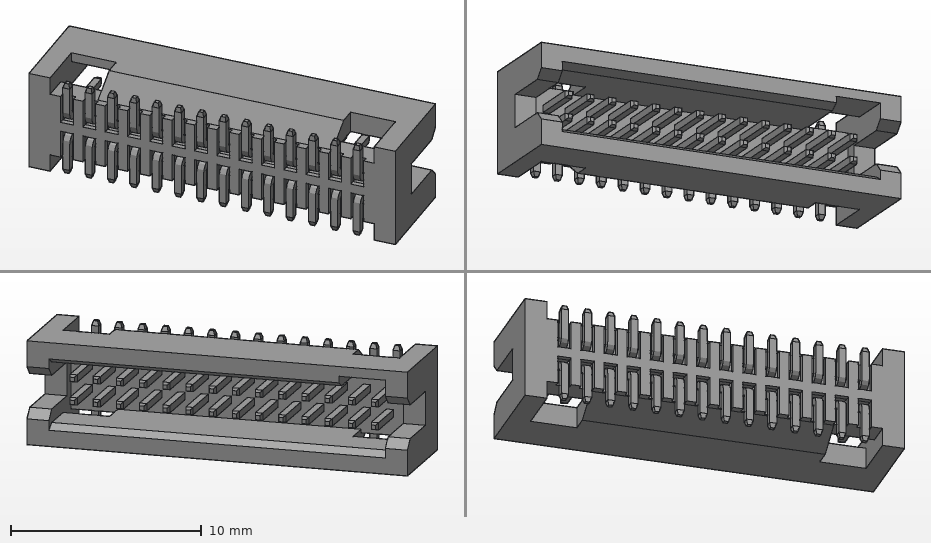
import cadquery as cq

length = 20.85
depth = 5.4
height = 5.65
end_wall = 1.2

cavity_half_height = 1.65
cavity_floor = 1.42
cavity_lead_in_depth = 0.5
cavity_lead_in_height = 0.3
slot_half_height = 0.92
slot_floor = 2.19
mouth_chamfer = 0.5

ledge_half_height = 1.83
ledge_depth = 1.42
window_width = 2.55
window_depth = 2.85
ramp_near = 0.42
ramp_far = 1.92

groove_top = 2.3

pin_count = 14
row_span = 16.5
pin_size = 0.4
row_offset = 0.63
tail_stand_off = 0.1
tail_end = 2.7
contact_end = 4.35
bend_radius = 0.52
tip_length = 0.25
tip_size = 0.23

channel_width = 0.73
channel_start = 0.27
channel_depth = 0.3
funnel_depth = 0.17

half_length = length / 2
half_height = height / 2
inner_length = length - 2 * end_wall
ramp_length = inner_length - 2 * window_width
window_x = (inner_length - window_width) / 2
pin_pitch = row_span / (pin_count - 1)
pin_positions = [-row_span / 2 + i * pin_pitch for i in range(pin_count)]
bend_center_y = bend_radius - tail_stand_off
bend_center_z = row_offset - pin_size / 2 + bend_radius


def block(x_range, y_range, z_range):
    """Axis-aligned box between the given limits."""
    size = [high - low for low, high in (x_range, y_range, z_range)]
    corner = (x_range[0], y_range[0], z_range[0])
    return cq.Workplane("XY").box(*size, centered=False).translate(corner)


def extrude_along_x(points, width):
    """Prism of a YZ outline, centred on X = 0."""
    return cq.Workplane("YZ").polyline(points).close().extrude(width / 2, both=True)


def mirrored_pair(solid):
    """The solid together with its reflection in the Z = 0 plane."""
    return solid.union(solid.mirror("XY"))


def make_pocket(width, half_height, floor, bevel_depth, bevel_height):
    """Pocket open at the mating face, with a bevelled upper and lower mouth edge."""
    bevel_start = depth - bevel_depth
    mouth_half_height = half_height + bevel_height
    outline = [
        (floor, -half_height),
        (bevel_start, -half_height),
        (depth, -mouth_half_height),
        (depth, mouth_half_height),
        (bevel_start, half_height),
        (floor, half_height),
    ]
    return extrude_along_x(outline, width)


def make_ramp_cut():
    """Material removed above the sloped face between the two windows."""
    outline = [
        (0, ledge_half_height),
        (ramp_near, ledge_half_height),
        (ramp_far, half_height),
        (0, half_height),
    ]
    return extrude_along_x(outline, ramp_length)


def make_window(x_center):
    """Opening through the full height behind the ledge, and the steps above and below the ledge."""
    x_range = (x_center - window_width / 2, x_center + window_width / 2)
    opening = block(x_range, (ledge_depth, window_depth), (-half_height, half_height))
    step = block(x_range, (0, ledge_depth), (ledge_half_height, half_height))
    return opening.union(mirrored_pair(step))


def make_groove():
    x_range = (-window_x - window_width / 2, -window_x + window_width / 2)
    return block(x_range, (window_depth, depth), (cavity_half_height, groove_top))


def make_channel():
    """Recess behind one upper tail, with a funnel narrowing onto the pin."""
    half_width = channel_width / 2
    channel = block((-half_width, half_width), (0, channel_depth), (channel_start, ledge_half_height))
    funnel_height = bend_center_z - channel_start
    funnel = (
        cq.Workplane("XZ", origin=(0, channel_depth, 0))
        .center(0, channel_start + funnel_height / 2)
        .rect(channel_width, funnel_height)
        .workplane(offset=-funnel_depth)
        .center(0, row_offset - channel_start - funnel_height / 2)
        .rect(pin_size, pin_size)
        .loft()
    )
    return channel.union(funnel)


def make_pin():
    """One upper-row pin: contact along +Y, bent into a tail along +Z."""
    tail_center_y = pin_size / 2 - tail_stand_off
    contact = (
        cq.Workplane("XZ", origin=(0, bend_center_y, row_offset))
        .rect(pin_size, pin_size)
        .extrude(bend_center_y - (contact_end - tip_length))
    )
    contact_tip = (
        cq.Workplane("XZ", origin=(0, contact_end - tip_length, row_offset))
        .rect(pin_size, pin_size)
        .workplane(offset=-tip_length)
        .rect(tip_size, tip_size)
        .loft()
    )
    bend = (
        cq.Workplane("XY", origin=(0, tail_center_y, bend_center_z))
        .rect(pin_size, pin_size)
        .revolve(90, (0, bend_center_y - tail_center_y), (1, bend_center_y - tail_center_y))
    )
    tail = (
        cq.Workplane("XY", origin=(0, tail_center_y, bend_center_z))
        .rect(pin_size, pin_size)
        .extrude(tail_end - tip_length - bend_center_z)
    )
    tail_tip = (
        cq.Workplane("XY", origin=(0, tail_center_y, tail_end - tip_length))
        .rect(pin_size, pin_size)
        .workplane(offset=tip_length)
        .rect(tip_size, tip_size)
        .loft()
    )
    return bend.union(contact).union(contact_tip).union(tail).union(tail_tip)


housing = block((-half_length, half_length), (0, depth), (-half_height, half_height))
cavity = make_pocket(
    inner_length, cavity_half_height, cavity_floor, cavity_lead_in_depth, cavity_lead_in_height
)
end_slots = make_pocket(length, slot_half_height, slot_floor, mouth_chamfer, mouth_chamfer)
housing = housing.cut(cavity).cut(end_slots).cut(make_groove())
housing = housing.cut(mirrored_pair(make_ramp_cut()))
for x_center in (-window_x, window_x):
    housing = housing.cut(make_window(x_center))

channel_pair = mirrored_pair(make_channel())
pin_pair = mirrored_pair(make_pin())
for x in pin_positions:
    housing = housing.cut(channel_pair.translate((x, 0, 0)))
for x in pin_positions:
    housing = housing.union(pin_pair.translate((x, 0, 0)))

result = housing